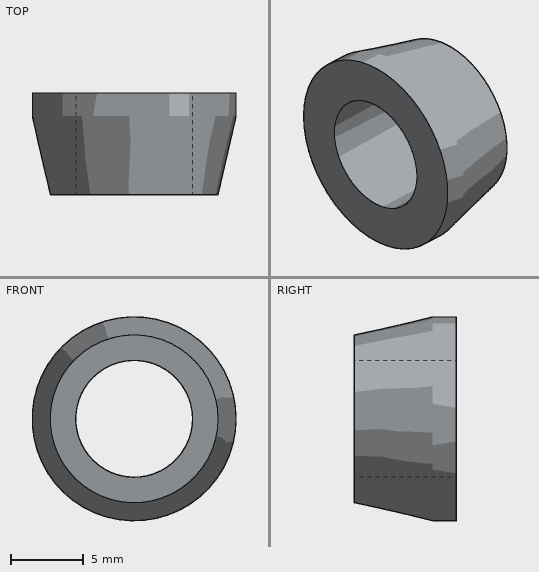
import cadquery as cq

outer_diameter = 14.0
length = 7.0
bore_diameter = 8.0
nose_diameter = 11.51
band_length = 1.61

outer_radius = outer_diameter / 2
nose_radius = nose_diameter / 2
bore_radius = bore_diameter / 2

nose_y = -length / 2
back_y = length / 2
band_y = back_y - band_length

half_section = (
    cq.Workplane("XY")
    .moveTo(bore_radius, nose_y)
    .lineTo(nose_radius, nose_y)
    .lineTo(outer_radius, band_y)
    .lineTo(outer_radius, back_y)
    .lineTo(bore_radius, back_y)
    .close()
)

result = half_section.revolve(360, (0, 0, 0), (0, 1, 0))